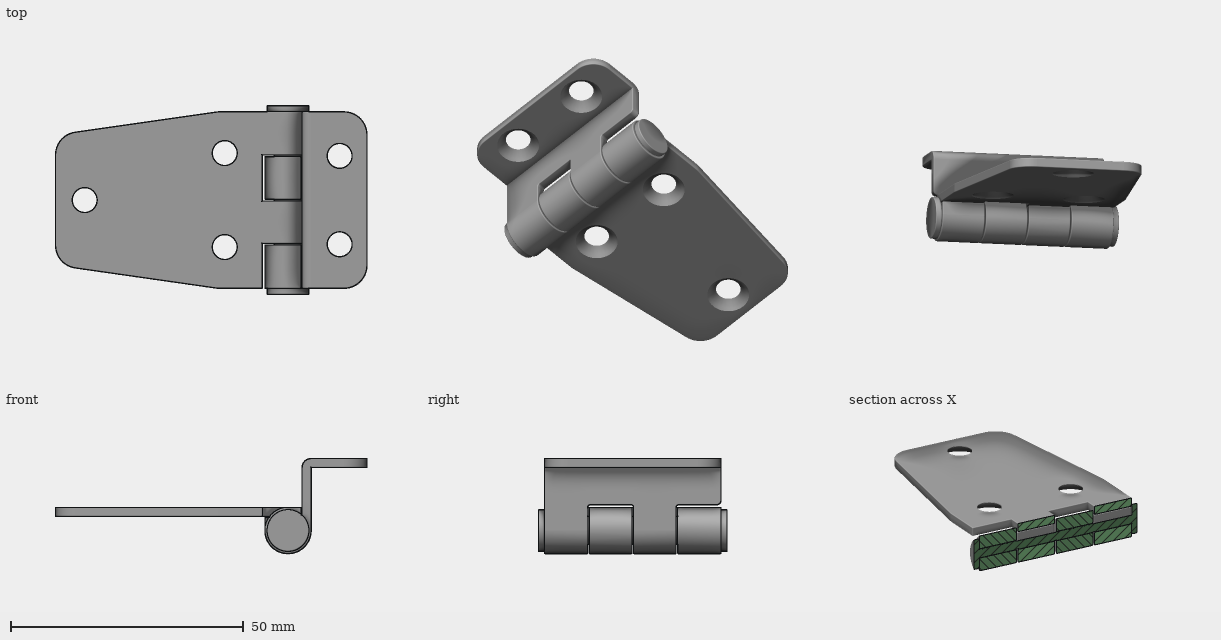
import cadquery as cq
import math

sheet = 2.0
pin_radius = 3.0
knuckle_radius = pin_radius + sheet
leaf_width = 38.0
half_width = leaf_width / 2
diagonal = math.sqrt(0.5)
knuckle_diagonal = knuckle_radius * diagonal
bore_diagonal = pin_radius * diagonal
knuckle_count = 4
knuckle_pitch = leaf_width / knuckle_count
knuckle_gap = 0.3
curl_end_gap = 0.2
corner_radius = 5.0
hole_diameter = 5.3
countersink_diameter = 9.0
countersink_angle = 90
edge_radius = 0.2

flat_leaf_end = -50.0
narrow_half_width = 14.0
taper_start = -15.0
slot_end = -5.5
end_hole_x = -43.7
pair_hole_x = -13.6
pair_hole_y = 10.1

cranked_leaf_end = 17.0
cranked_leaf_top = 15.5
window_top = 5.5
window_corner_radius = window_top - knuckle_radius
free_corner_radius = 1.0
cranked_hole_x = 11.1
cranked_hole_y = 9.5

head_radius = 4.5
head_thickness = 1.3
head_edge_radius = 0.2

tangent_limit = 0.9
probe_step = 0.01
cut_margin = 1.0


def extrude_across(profile):
    """Extrude an XZ profile symmetrically over the leaf width."""
    return profile.extrude(half_width, both=True)


def drill_countersunk(leaf, face_z, points):
    """Drill holes countersunk from the downward face at height face_z."""
    downward_face = cq.Workplane("XY", origin=(0, 0, face_z)).transformed(rotate=(180, 0, 0))
    return (
        leaf.copyWorkplane(downward_face)
        .pushPoints(points)
        .cskHole(hole_diameter, countersink_diameter, countersink_angle, depth=sheet)
    )


def is_sharp_outer_edge(edge, solid):
    """True for a convex edge where two faces meet at a clear angle."""
    middle = edge.positionAt(0.5)
    faces = list(edge.ancestors(solid, "Face"))
    if len(faces) != 2:
        return False
    first, second = (face.normalAt(middle) for face in faces)
    if first.dot(second) > tangent_limit:
        return False
    probe = middle + (first - second) * probe_step
    return not solid.isInside(probe)


def break_edges(leaf):
    """Round every sharp outer edge of a leaf."""
    solid = leaf.solids().val()
    sharp = [edge for edge in solid.Edges() if is_sharp_outer_edge(edge, solid)]
    return cq.Workplane(solid).newObject(sharp).fillet(edge_radius)


def knuckle_clearance(index):
    """Y range cleared around a knuckle of the other leaf; index 0 is at -Y."""
    low = -half_width + index * knuckle_pitch - knuckle_gap / 2
    high = low + knuckle_pitch + knuckle_gap
    if index == 0:
        low -= cut_margin
    if index == knuckle_count - 1:
        high += cut_margin
    return low, high


def box_between(x_range, y_range, z_range):
    """Axis-aligned box given by its limits along X, Y and Z."""
    corner = (x_range[0], y_range[0], z_range[0])
    return cq.Workplane("XY").box(
        x_range[1] - x_range[0],
        y_range[1] - y_range[0],
        z_range[1] - z_range[0],
        centered=False,
    ).translate(corner)


cranked_knuckles = range(0, knuckle_count, 2)
flat_knuckles = range(1, knuckle_count, 2)


def make_flat_leaf():
    """Tapered plate whose edge curls over the pin and back up to the plate."""
    curl_end = pin_radius - curl_end_gap
    section = (
        cq.Workplane("XZ")
        .moveTo(flat_leaf_end, knuckle_radius)
        .lineTo(0, knuckle_radius)
        .threePointArc((knuckle_radius, 0), (0, -knuckle_radius))
        .threePointArc((-knuckle_diagonal, -knuckle_diagonal), (-knuckle_radius, 0))
        .lineTo(-knuckle_radius, curl_end)
        .lineTo(-pin_radius, curl_end)
        .lineTo(-pin_radius, 0)
        .threePointArc((-bore_diagonal, -bore_diagonal), (0, -pin_radius))
        .threePointArc((pin_radius, 0), (0, pin_radius))
        .lineTo(flat_leaf_end, pin_radius)
        .close()
    )
    outline = (
        cq.Workplane("XY")
        .polyline([
            (knuckle_radius, -half_width),
            (knuckle_radius, half_width),
            (taper_start, half_width),
            (flat_leaf_end, narrow_half_width),
            (flat_leaf_end, -narrow_half_width),
            (taper_start, -half_width),
        ])
        .close()
        .extrude(knuckle_radius, both=True)
        .edges("|Z")
        .edges("not >X")
        .fillet(corner_radius)
    )
    leaf = extrude_across(section).intersect(outline)
    for index in cranked_knuckles:
        slot = box_between(
            (slot_end, knuckle_radius + cut_margin),
            knuckle_clearance(index),
            (-knuckle_radius - cut_margin, knuckle_radius + cut_margin),
        )
        leaf = leaf.cut(slot)
    pair = [(pair_hole_x, y) for y in (-pair_hole_y, pair_hole_y)]
    return drill_countersunk(break_edges(leaf), pin_radius, [(end_hole_x, 0)] + pair)


def make_cranked_leaf():
    """Flange and upright wall whose lower edge curls under and over the pin."""
    curl_end = pin_radius - curl_end_gap
    flange_bottom = cranked_leaf_top - sheet
    bend_offset = sheet * diagonal
    section = (
        cq.Workplane("XZ")
        .moveTo(cranked_leaf_end, cranked_leaf_top)
        .lineTo(knuckle_radius, cranked_leaf_top)
        .threePointArc(
            (knuckle_radius - bend_offset, flange_bottom + bend_offset),
            (pin_radius, flange_bottom),
        )
        .lineTo(pin_radius, 0)
        .threePointArc((0, -pin_radius), (-pin_radius, 0))
        .threePointArc((-bore_diagonal, bore_diagonal), (0, pin_radius))
        .lineTo(curl_end, pin_radius)
        .lineTo(curl_end, knuckle_radius)
        .lineTo(0, knuckle_radius)
        .threePointArc((-knuckle_diagonal, knuckle_diagonal), (-knuckle_radius, 0))
        .threePointArc((0, -knuckle_radius), (knuckle_radius, 0))
        .lineTo(knuckle_radius, flange_bottom)
        .lineTo(cranked_leaf_end, flange_bottom)
        .close()
    )
    leaf = extrude_across(section)
    leaf = leaf.edges("|Z and >X").fillet(corner_radius)
    for index in flat_knuckles:
        window = box_between(
            (-knuckle_radius - cut_margin, knuckle_radius + cut_margin),
            knuckle_clearance(index),
            (-knuckle_radius - cut_margin, window_top),
        )
        leaf = leaf.cut(window.edges("|X and >Z").fillet(window_corner_radius))
    free_corner = cq.selectors.NearestToPointSelector(
        (knuckle_radius - sheet / 2, half_width, window_top)
    )
    leaf = leaf.edges("|X").edges(free_corner).fillet(free_corner_radius)
    holes = [(cranked_hole_x, y) for y in (-cranked_hole_y, cranked_hole_y)]
    return drill_countersunk(break_edges(leaf), flange_bottom, holes)


def make_pin():
    """Shaft through all the knuckles with a rounded head at each end."""
    pin = cq.Workplane("XZ").circle(pin_radius).extrude(half_width, both=True)
    for side in (-1, 1):
        head = (
            cq.Workplane("XZ", origin=(0, side * half_width, 0))
            .circle(head_radius)
            .extrude(-side * head_thickness)
            .edges("%CIRCLE")
            .fillet(head_edge_radius)
        )
        pin = pin.union(head)
    return pin


flat_leaf = make_flat_leaf()
cranked_leaf = make_cranked_leaf()
pin = make_pin()

result = cq.Compound.makeCompound([
    flat_leaf.solids().val(),
    cranked_leaf.solids().val(),
    pin.solids().val(),
])